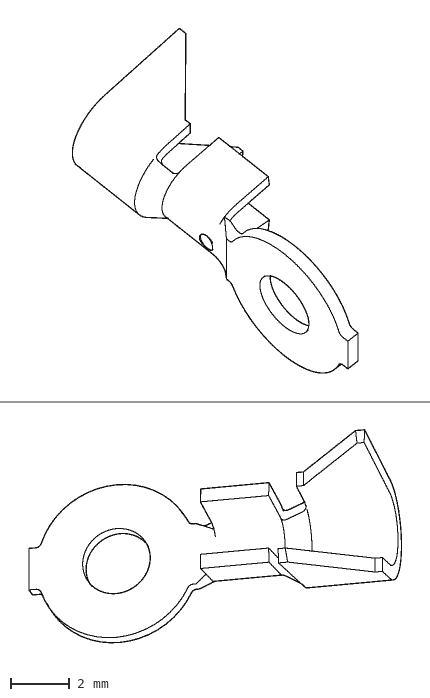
import cadquery as cq
import math


strip_thickness = 0.5

ring_radius = 2.79
hole_radius = 1.185
tab_end_x = 3.07
tab_half_width = 0.76
ring_fillet = 0.2

neck_half_width = 1.105
neck_start_x = -2.8

wire_barrel_length = 2.4
wire_barrel_radius = 1.3
wire_barrel_flare = 6.0
wire_barrel_tip_y = 2.77
neck_transition_length = 0.72

insulation_barrel_length = 3.02
insulation_barrel_radius = 1.82
insulation_barrel_flare = 7.8
insulation_barrel_tip_y = 4.7
insulation_barrel_drop = 0.5
barrel_gap = 0.82

barrel_web_angle = 62.0
barrel_web_trim_angle = 18.0
web_notch_clearance = 0.25
barrel_web_fillet = 0.17

wing_short_tip_y = 2.17
wing_flat_length = 0.25

mark_radius = 0.325
mark_depth = 0.05
mark_inset = 0.27

wire_barrel_end_x = neck_start_x - neck_transition_length
wire_barrel_start_x = wire_barrel_end_x - wire_barrel_length
insulation_barrel_end_x = wire_barrel_start_x - barrel_gap
insulation_barrel_start_x = insulation_barrel_end_x - insulation_barrel_length


def barrel(start_x, length, radius, flare, bottom_y, tip_y):
    """Open U barrel: a round bottom with two straight wings flared outwards."""
    sine = math.sin(math.radians(flare))
    cosine = math.cos(math.radians(flare))
    inner_radius = radius - strip_thickness
    centre_y = bottom_y + radius
    outer_bend = (centre_y - radius * sine, radius * cosine)
    inner_bend = (centre_y - inner_radius * sine, inner_radius * cosine)
    wing_length = (tip_y - inner_bend[0]) / cosine
    outer_tip = (outer_bend[0] + wing_length * cosine, outer_bend[1] + wing_length * sine)
    inner_tip = (inner_bend[0] + wing_length * cosine, inner_bend[1] + wing_length * sine)

    def mirrored(point):
        return (point[0], -point[1])

    return (
        cq.Workplane("YZ", origin=(start_x, 0, 0))
        .moveTo(*outer_tip)
        .lineTo(*outer_bend)
        .threePointArc((bottom_y, 0), mirrored(outer_bend))
        .lineTo(*mirrored(outer_tip))
        .lineTo(*mirrored(inner_tip))
        .lineTo(*mirrored(inner_bend))
        .threePointArc((bottom_y + strip_thickness, 0), inner_bend)
        .lineTo(*inner_tip)
        .close()
        .extrude(length)
    )


def wing_trim(long_end_x, short_end_x, side):
    """Tool that removes the diagonal corner of one insulation wing."""
    step = math.copysign(wing_flat_length, short_end_x - long_end_x)
    beyond_y = insulation_barrel_tip_y + strip_thickness
    return (
        cq.Workplane("XY")
        .moveTo(long_end_x + step, beyond_y)
        .lineTo(long_end_x + step, insulation_barrel_tip_y)
        .lineTo(short_end_x - step, wing_short_tip_y)
        .lineTo(short_end_x, wing_short_tip_y)
        .lineTo(short_end_x, beyond_y)
        .close()
        .extrude(side * 2 * insulation_barrel_radius)
    )


def insulation_barrel():
    """Larger barrel with diagonally trimmed wings that grips the wire's insulation."""
    body = barrel(
        insulation_barrel_start_x,
        insulation_barrel_length,
        insulation_barrel_radius,
        insulation_barrel_flare,
        -insulation_barrel_drop,
        insulation_barrel_tip_y,
    )
    body = body.cut(wing_trim(insulation_barrel_start_x, insulation_barrel_end_x, 1))
    return body.cut(wing_trim(insulation_barrel_end_x, insulation_barrel_start_x, -1))


def arc_band(plane, radius, bottom_y, half_angle):
    """Curved strip section spanning half_angle either side of the barrel bottom."""
    sine = math.sin(math.radians(half_angle))
    cosine = math.cos(math.radians(half_angle))
    inner_radius = radius - strip_thickness
    centre_y = bottom_y + radius
    return (
        plane.moveTo(centre_y - radius * cosine, -radius * sine)
        .threePointArc((bottom_y, 0), (centre_y - radius * cosine, radius * sine))
        .lineTo(centre_y - inner_radius * cosine, inner_radius * sine)
        .threePointArc(
            (bottom_y + strip_thickness, 0),
            (centre_y - inner_radius * cosine, -inner_radius * sine),
        )
        .close()
    )


def web_notch():
    """Tool with rounded corners that trims one radial edge of the web between the barrels."""
    return (
        cq.Workplane("XY")
        .box(barrel_gap, barrel_gap, insulation_barrel_radius, centered=(False, False, False))
        .edges("|Z and <Y")
        .fillet(barrel_web_fillet)
        .translate((insulation_barrel_end_x, 0, web_notch_clearance))
        .rotate((0, 0, 0), (1, 0, 0), 90 - barrel_web_angle)
        .translate((0, wire_barrel_radius, 0))
    )


def barrel_web():
    """Conical strip joining the bottoms of the two barrels, with rounded inside corners."""
    untrimmed_angle = barrel_web_angle + barrel_web_trim_angle
    start = cq.Workplane("YZ", origin=(insulation_barrel_end_x, 0, 0))
    section = arc_band(start, insulation_barrel_radius, -insulation_barrel_drop, untrimmed_angle)
    section = section.workplane(offset=barrel_gap)
    web = arc_band(section, wire_barrel_radius, 0, untrimmed_angle).loft(ruled=True)
    notch = web_notch()
    return web.cut(notch).cut(notch.mirror("XY"))


def neck_transition():
    """Strip that flattens from the wire barrel's curve into the ring's neck."""
    half_angle = math.degrees(math.asin(neck_half_width / wire_barrel_radius))
    start = cq.Workplane("YZ", origin=(wire_barrel_end_x, 0, 0))
    section = arc_band(start, wire_barrel_radius, 0, half_angle)
    return (
        section.workplane(offset=neck_transition_length)
        .moveTo(0, -neck_half_width)
        .lineTo(0, neck_half_width)
        .lineTo(strip_thickness, neck_half_width)
        .lineTo(strip_thickness, -neck_half_width)
        .close()
        .loft(ruled=True)
    )


def strip_fillet_ends(half_width, side):
    """Points where the fillet between a straight strip and the ring's rim leaves each of them."""
    centre_distance = ring_radius + ring_fillet
    centre_z = half_width + ring_fillet
    centre_x = side * math.sqrt(centre_distance**2 - centre_z**2)
    rim_ratio = ring_radius / centre_distance
    return (centre_x, half_width), (centre_x * rim_ratio, centre_z * rim_ratio)


def ring():
    """Flat ring with its neck and the small tab at the far end, filleted into the rim."""
    neck_tangent, neck_rim = strip_fillet_ends(neck_half_width, -1)
    tab_tangent, tab_rim = strip_fillet_ends(tab_half_width, 1)
    upper_half = (
        cq.Workplane("XZ")
        .moveTo(neck_start_x, 0)
        .lineTo(neck_start_x, neck_half_width)
        .lineTo(*neck_tangent)
        .tangentArcPoint(neck_rim, relative=False)
        .threePointArc((0, ring_radius), tab_rim)
        .tangentArcPoint(tab_tangent, relative=False)
        .lineTo(tab_end_x, tab_half_width)
        .lineTo(tab_end_x, 0)
        .close()
        .extrude(-strip_thickness)
    )
    hole = cq.Workplane("XZ").circle(hole_radius).extrude(-strip_thickness)
    return upper_half.union(upper_half.mirror("XY")).cut(hole)


def wire_barrel():
    """Untrimmed barrel that grips the bare conductor."""
    return barrel(
        wire_barrel_start_x,
        wire_barrel_length,
        wire_barrel_radius,
        wire_barrel_flare,
        0,
        wire_barrel_tip_y,
    )


def inspection_mark():
    """Shallow flat-floored round recess on the outside of the wire barrel."""
    mark_x = wire_barrel_end_x - mark_inset
    return cq.Workplane("XZ").center(mark_x, 0).circle(mark_radius).extrude(-mark_depth)


result = (
    insulation_barrel()
    .union(barrel_web())
    .union(wire_barrel())
    .union(neck_transition())
    .union(ring())
    .cut(inspection_mark())
)